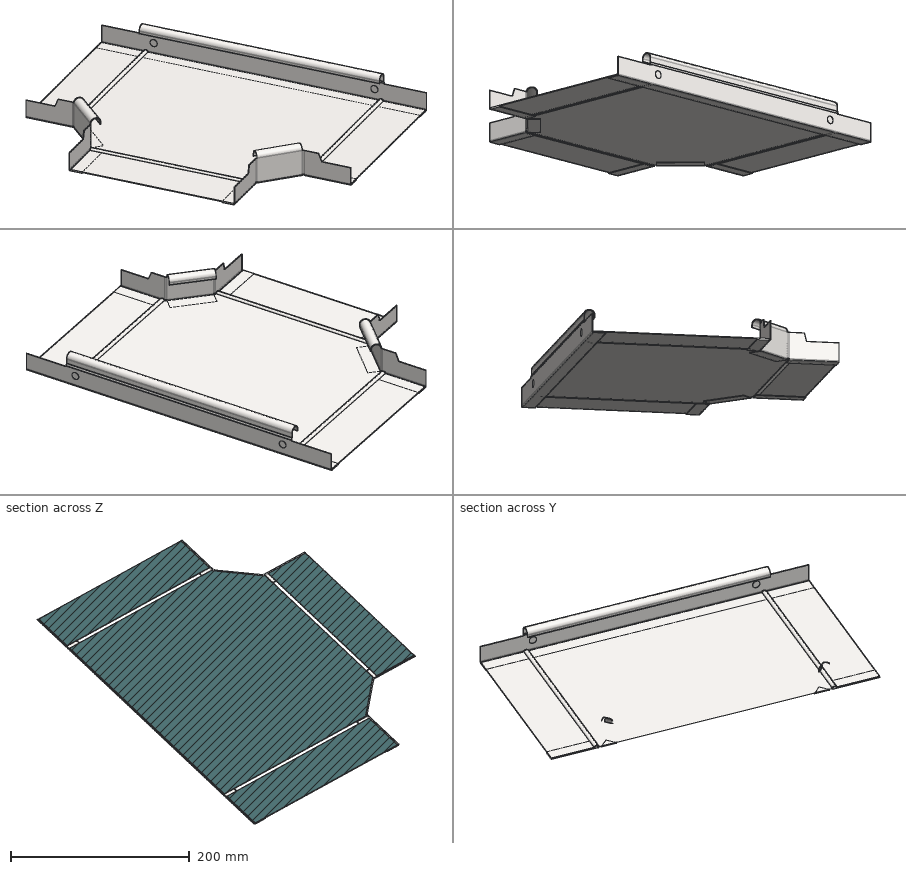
import cadquery as cq
import math

length = 399.2
depth = 301.5
height = 38.0
tray_width = 204.0
sheet = 1.0
bend_inner = 0.8
flange_width = 16.0
mouth_wall_height = 22.5
wall_height = 32.0
hook_width = 12.8
lip_bottom = 28.7
corner_turn = 45.0
diagonal_leg = 39.5
mouth_wall_run = 39.5
main_slant = 4.0
branch_slant = 2.5
jog_bottom = 23.0
jog_top = 26.0
bead_width = 6.0
bead_rise = 2.0
dimple_radius = 4.5
dimple_depth = 0.5
dimple_x = 135.7
dimple_z = 13.5
corner_radius = 2.5

bend_outer = bend_inner + sheet
half_length = length / 2
half_width = tray_width / 2
mouth_y = half_width - depth
floor_edge = half_width - bend_outer
corner_run = depth - tray_width - diagonal_leg
floor_top = 2 * sheet
bend_foot = floor_top
bead_top = floor_top + bead_rise
bead_radius = ((bead_width / 2) ** 2 + bead_rise ** 2) / (2 * bead_rise)
bead_middle = corner_run - bead_width / 2


def rail_profile(plane, wall_top, hooked=False, jog=0.0):
    """Closed section of a rail: x runs inward from the outer wall face, y runs up."""
    mid = math.sqrt(0.5)
    outer = jog
    inner = jog + sheet
    section = (
        cq.Workplane(plane)
        .moveTo(flange_width, 0)
        .lineTo(bend_outer, 0)
        .threePointArc((bend_outer * (1 - mid), bend_outer * (1 - mid)), (0, bend_outer))
    )
    if jog:
        section = section.lineTo(0, jog_bottom).lineTo(jog, jog_top)
    section = section.lineTo(outer, wall_top)
    if hooked:
        crest = outer + hook_width / 2
        lip = outer + hook_width
        section = (
            section.threePointArc((crest, height), (lip, wall_top))
            .lineTo(lip, lip_bottom)
            .lineTo(lip - sheet, lip_bottom)
            .lineTo(lip - sheet, wall_top)
            .threePointArc((crest, height - sheet), (inner, wall_top))
        )
    else:
        section = section.lineTo(inner, wall_top)
    if jog:
        section = section.lineTo(inner, jog_top).lineTo(sheet, jog_bottom)
    return (
        section.lineTo(sheet, bend_outer)
        .threePointArc(
            (bend_outer - bend_inner * mid, bend_outer - bend_inner * mid), (bend_outer, sheet)
        )
        .lineTo(flange_width, sheet)
        .close()
    )


def rail(start, end, wall_top, hooked=False, jog=0.0):
    """Straight rail whose outer face runs from start to end, with its inside on the left."""
    run = math.dist(start, end)
    along = ((end[0] - start[0]) / run, (end[1] - start[1]) / run)
    plane = cq.Plane(
        origin=(start[0], start[1], 0),
        xDir=(-along[1], along[0], 0),
        normal=(along[0], along[1], 0),
    )
    return rail_profile(plane, wall_top, hooked, jog).extrude(run)


def mouth_shoulder(slant):
    """Outline of the material removed above a wall near a mouth, measured from the mouth."""
    return [
        (0, mouth_wall_height),
        (mouth_wall_run - slant, mouth_wall_height),
        (mouth_wall_run, wall_height),
        (mouth_wall_run, height),
        (0, height),
    ]


def corner_bend(start, along):
    """Upright 45 degree right-hand bend, starting where a wall with this direction ends."""
    heading = math.degrees(math.atan2(along[1], along[0]))
    section = (
        cq.Workplane("XZ")
        .moveTo(corner_radius, bend_foot)
        .rect(sheet, wall_height - bend_foot, centered=False)
    )
    bend = section.revolve(corner_turn, (0, 0, 0), (0, -1, 0))
    center = (start[0] + corner_radius * along[1], start[1] - corner_radius * along[0], 0)
    return bend.rotate((0, 0, 0), (0, 0, 1), heading + 90).translate(center)


def left_corner_rail():
    """Wall along the left mouth, the diagonal and the branch, with a rolled edge on the diagonal."""
    slope = math.sqrt(0.5)
    setback = corner_radius * math.tan(math.radians(corner_turn / 2))
    main_corner_x = -half_width - diagonal_leg
    branch_corner_y = mouth_y + corner_run
    main_end = (-half_length, -half_width)
    main_bend = (main_corner_x - setback, -half_width)
    diagonal_start = (main_corner_x + setback * slope, -half_width - setback * slope)
    diagonal_end = (-half_width - setback * slope, branch_corner_y + setback * slope)
    branch_bend = (-half_width, branch_corner_y - setback)
    branch_end = (-half_width, mouth_y)

    main_cut = (
        cq.Workplane("XZ", origin=(-half_length, 0, 0))
        .polyline(mouth_shoulder(main_slant)).close()
        .extrude(depth)
    )
    branch_cut = (
        cq.Workplane("YZ", origin=(-half_length, mouth_y, 0))
        .polyline(mouth_shoulder(branch_slant)).close()
        .extrude(half_length)
    )
    main_wall = rail(main_end, main_bend, wall_height).cut(main_cut)
    diagonal_wall = rail(diagonal_start, diagonal_end, wall_height, hooked=True)
    branch_wall = rail(branch_bend, branch_end, wall_height).cut(branch_cut)
    return (
        main_wall.union(corner_bend(main_bend, (1, 0)))
        .union(diagonal_wall)
        .union(corner_bend(diagonal_end, (slope, -slope)))
        .union(branch_wall)
    )


def bead(plane):
    """Solid bead on the floor; the plane's x runs inward from a mouth and its y is the height."""
    return (
        cq.Workplane(plane)
        .moveTo(bead_middle - bead_width / 2, floor_top)
        .threePointArc((bead_middle, bead_top), (bead_middle + bead_width / 2, floor_top))
        .lineTo(bead_middle + bead_width / 2, sheet)
        .lineTo(bead_middle - bead_width / 2, sheet)
        .close()
        .extrude(2 * floor_edge)
    )


def bead_hollow(plane):
    """Round bar that hollows a bead from below, leaving one sheet thickness."""
    return (
        cq.Workplane(plane)
        .center(bead_middle, bead_top - bead_radius)
        .circle(bead_radius - sheet)
        .extrude(2 * floor_edge)
    )


def floor():
    """Flat sheet on the flanges, with a pressed bead across each mouth."""
    left_plane = cq.Plane(origin=(-half_length, floor_edge, 0), xDir=(1, 0, 0), normal=(0, -1, 0))
    right_plane = cq.Plane(origin=(half_length, -floor_edge, 0), xDir=(-1, 0, 0), normal=(0, 1, 0))
    branch_plane = cq.Plane(origin=(-floor_edge, mouth_y, 0), xDir=(0, 1, 0), normal=(1, 0, 0))

    inset = bend_outer * math.tan(math.radians(corner_turn / 2))
    bend_x = half_length - corner_run - inset
    bend_y = mouth_y + corner_run + inset
    right_edge = [
        (half_length, floor_edge),
        (half_length, -floor_edge),
        (bend_x, -floor_edge),
        (floor_edge, bend_y),
        (floor_edge, mouth_y),
    ]
    left_edge = [(-x, y) for x, y in reversed(right_edge)]
    plate = (
        cq.Workplane("XY", origin=(0, 0, sheet))
        .polyline(right_edge + left_edge)
        .close()
        .extrude(sheet)
    )
    for plane in (left_plane, right_plane, branch_plane):
        plate = plate.union(bead(plane)).cut(bead_hollow(plane))
    return plate


def tray_body():
    """Floor with the two corner rails joined to it."""
    left_rail = left_corner_rail()
    return floor().union(left_rail).union(left_rail.mirror("YZ"))


def back_rail_body():
    """Low wall over the whole length; its middle jogs inward and ends in a rolled edge."""
    low_wall = rail((half_length, half_width), (-half_length, half_width), mouth_wall_height)
    hook_half = half_length - corner_run + bead_width
    hooked_wall = rail(
        (hook_half, half_width), (-hook_half, half_width), wall_height, hooked=True, jog=sheet
    )
    dimples = (
        cq.Workplane("XZ", origin=(0, half_width - sheet + dimple_depth, 0))
        .pushPoints([(-dimple_x, dimple_z), (dimple_x, dimple_z)])
        .circle(dimple_radius)
        .extrude(dimple_depth)
    )
    return low_wall.union(hooked_wall).cut(dimples)


tray = tray_body()
back_rail = back_rail_body()
result = cq.Compound.makeCompound([tray.val(), back_rail.val()])